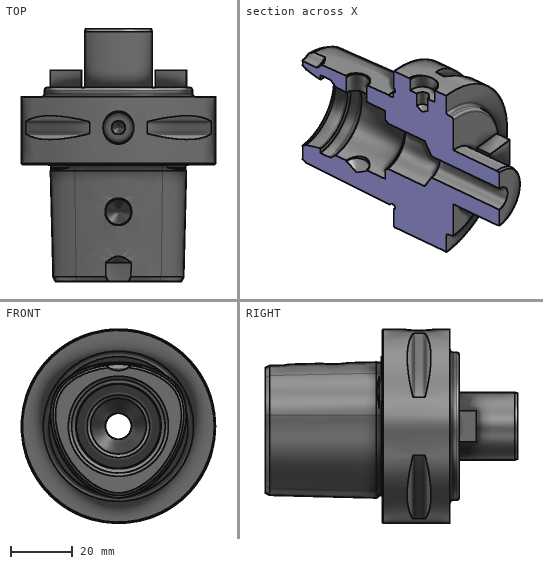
import cadquery as cq
import math


total_length = 82.0
shank_length = 38.0
flange_length = 22.0
collar_length = 3.0
arbor_end = total_length - shank_length
collar_end = flange_length + collar_length

flange_radius = 31.5
flange_chamfer = 0.4
collar_radius = 24.0
collar_fillet = 1.0
arbor_radius = 11.0
arbor_chamfer_length = 1.0
arbor_chamfer_width = 0.3

key_inner = 11.9
key_outer = 22.1
key_width = 10.0
key_height = 5.6

face_groove_radius = 24.35
face_groove_depth = 0.6
neck_radius = 22.55
land_height = 0.25

shank_mean_radius = 22.05
neck_mean_radius = 21.9
lobe_height = 1.2
outline_arcs = 6
arc_steps = 8
taper = 1 / 40
neck_length = 2.0
neck_cylinder_length = 1.0
end_chamfer_length = 1.55
end_chamfer_width = 0.8

mouth_radius = 16.2
mouth_chamfer_radius = 15.2
mouth_chamfer_length = 1.55
bore_entry_radius = 13.85
bore_entry_end = 6.8
groove_radius = 15.6
groove_start = 7.6
groove_arc_start = 11.15
groove_cone_radius = 15.1
groove_cone_start = 12.3
bore_radius = 13.6
groove_cone_end = 13.8
bore_depth = 34.4

screw_mouth_radius = 10.2
screw_radius = 9.0
screw_depth = 50.8
through_radius = 4.2
drill_half_angle = 59.0

cross_hole_radius = 4.2
cross_hole_mouth_radius = 4.4
cross_hole_mouth_depth = 0.65
cross_hole_depth = 15.3
cross_hole_bottom = -13.9

mouth_clearance = 1.6

notch_radius = 5.7
notch_floor = 18.0
notch_length = 6.15

rim_centre = 12.0
grip_floor = 27.9
grip_floor_width = 3.85
grip_mouth_width = 7.7
grip_fillet = 0.6
grip_count = 4
pocket_radius = 5.0
pocket_mouth_radius = 5.3
pocket_mouth_depth = 0.3
pocket_depth = 4.75
pilot_radius = 2.2
pilot_depth = 4.9


def drill_tip(radius):
    """Length of the cone a drill leaves between the given radius and the axis."""
    return radius / math.tan(math.radians(drill_half_angle))


def revolve_outline(outline):
    """Revolve a closed XY outline about the Y axis."""
    return outline.close().revolve(360, (0, 0, 0), (0, 1, 0))


def lobed_wire(mean_radius, depth):
    """Three-lobed outline of constant width, one lobe pointing to -Z."""
    def point(angle):
        support = mean_radius + lobe_height * math.sin(3 * angle)
        slope = 3 * lobe_height * math.cos(3 * angle)
        return cq.Vector(
            support * math.cos(angle) - slope * math.sin(angle),
            -depth,
            support * math.sin(angle) + slope * math.cos(angle),
        )

    def tangent(angle):
        return cq.Vector(-math.sin(angle), 0, math.cos(angle))

    arc_angle = 2 * math.pi / outline_arcs
    edges = []
    for arc in range(outline_arcs):
        start = arc * arc_angle
        end = start + arc_angle
        points = [point(start + step * arc_angle / arc_steps) for step in range(arc_steps + 1)]
        edges.append(cq.Edge.makeSpline(points, tangents=[tangent(start), tangent(end)]))
    return cq.Wire.assembleEdges(edges)


def lobed_segment(start, end):
    """Solid between two (mean radius, depth) sections."""
    return cq.Workplane(cq.Solid.makeLoft([lobed_wire(*start), lobed_wire(*end)], True))


def make_body():
    groove_middle = (neck_radius + face_groove_radius) / 2
    fillet_middle = collar_fillet * (1 - math.sqrt(0.5))
    outline = (
        cq.Workplane("XY")
        .moveTo(0, -land_height)
        .lineTo(neck_radius, -land_height)
        .threePointArc((groove_middle, face_groove_depth), (face_groove_radius, 0))
        .lineTo(flange_radius - flange_chamfer, 0)
        .lineTo(flange_radius, flange_chamfer)
        .lineTo(flange_radius, flange_length)
        .lineTo(collar_radius + collar_fillet, flange_length)
        .threePointArc(
            (collar_radius + fillet_middle, flange_length + fillet_middle),
            (collar_radius, flange_length + collar_fillet),
        )
        .lineTo(collar_radius, collar_end - collar_fillet)
        .threePointArc(
            (collar_radius - fillet_middle, collar_end - fillet_middle),
            (collar_radius - collar_fillet, collar_end),
        )
        .lineTo(arbor_radius, collar_end)
        .lineTo(arbor_radius, arbor_end - arbor_chamfer_length)
        .lineTo(arbor_radius - arbor_chamfer_width, arbor_end)
        .lineTo(0, arbor_end)
    )
    return revolve_outline(outline)


def make_shank():
    chamfer_start = shank_length - end_chamfer_length
    small_radius = shank_mean_radius - taper * (chamfer_start - neck_length)
    neck = lobed_segment((neck_mean_radius, 0), (neck_mean_radius, neck_length))
    taper_part = lobed_segment((shank_mean_radius, neck_length), (small_radius, chamfer_start))
    end_chamfer = lobed_segment(
        (small_radius, chamfer_start), (small_radius - end_chamfer_width, shank_length)
    )
    shank = neck.union(taper_part).union(end_chamfer)
    return shank.intersect(make_neck_limit())


def make_neck_limit():
    """Turned envelope that trims the lobes next to the flange with a 45 degree cone."""
    clear_radius = flange_radius
    cone_end = neck_cylinder_length + clear_radius - neck_radius
    outline = (
        cq.Workplane("XY")
        .moveTo(0, 0)
        .lineTo(neck_radius, 0)
        .lineTo(neck_radius, -neck_cylinder_length)
        .lineTo(clear_radius, -cone_end)
        .lineTo(clear_radius, -shank_length)
        .lineTo(0, -shank_length)
    )
    return revolve_outline(outline)


def make_keys():
    key_length = key_outer - key_inner
    return (
        cq.Workplane("XZ", origin=(0, collar_end, 0))
        .pushPoints([(side * (key_inner + key_outer) / 2, 0) for side in (-1, 1)])
        .rect(key_length, key_width)
        .extrude(-key_height)
    )


def make_bore():
    screw_chamfer = screw_mouth_radius - screw_radius
    tip_end = screw_depth + drill_tip(screw_radius) - drill_tip(through_radius)
    outline = (
        cq.Workplane("XY")
        .lineTo(mouth_radius, 0)
        .lineTo(mouth_chamfer_radius, mouth_chamfer_length)
        .lineTo(bore_entry_radius, bore_entry_end)
        .lineTo(bore_entry_radius, groove_start)
        .lineTo(groove_radius, groove_start)
        .lineTo(groove_radius, groove_arc_start)
        .tangentArcPoint((groove_cone_radius, groove_cone_start), relative=False)
        .lineTo(bore_radius, groove_cone_end)
        .lineTo(bore_radius, bore_depth)
        .lineTo(screw_mouth_radius, bore_depth)
        .lineTo(screw_radius, bore_depth + screw_chamfer)
        .lineTo(screw_radius, screw_depth)
        .lineTo(through_radius, tip_end)
        .lineTo(through_radius, total_length)
        .lineTo(0, total_length)
    )
    return revolve_outline(outline).translate((0, -shank_length, 0))


def drilled_hole(radius, top, bottom):
    """Round hole along -Z with a drill tip below its cylindrical part, centred on Z."""
    outline = (
        cq.Workplane("XZ")
        .moveTo(0, top)
        .lineTo(radius, top)
        .lineTo(radius, bottom)
        .lineTo(0, bottom - drill_tip(radius))
        .close()
    )
    return outline.revolve(360, (0, 0, 0), (0, 1, 0))


def tapered_mouth(hole_radius, mouth_radius, bottom, top):
    """Cone that widens a hole along Z up to its surface, with clearance above it."""
    cone = cq.Solid.makeCone(hole_radius, mouth_radius, top - bottom, cq.Vector(0, 0, bottom))
    clearance = cq.Workplane("XY", origin=(0, 0, top)).circle(mouth_radius).extrude(mouth_clearance)
    return clearance.union(cq.Workplane(cone))


def make_cross_hole():
    surface = shank_mean_radius - lobe_height - taper * (cross_hole_depth - neck_length)
    hole = drilled_hole(cross_hole_radius, shank_mean_radius, cross_hole_bottom)
    mouth = tapered_mouth(
        cross_hole_radius, cross_hole_mouth_radius, surface - cross_hole_mouth_depth, surface
    )
    return hole.union(mouth).translate((0, -cross_hole_depth, 0))


def make_notch():
    """Round trough with a 45 degree conical end."""
    outline = (
        cq.Workplane("XY")
        .moveTo(0, -shank_length)
        .lineTo(notch_radius, -shank_length)
        .lineTo(notch_radius, notch_length - shank_length)
        .lineTo(0, notch_length + notch_radius - shank_length)
    )
    return revolve_outline(outline).translate((0, 0, notch_floor + notch_radius))


def make_rim_pocket():
    floor = flange_radius - pocket_depth
    pocket = cq.Workplane("XY", origin=(0, 0, floor)).circle(pocket_radius).extrude(2 * pocket_depth)
    pilot = drilled_hole(pilot_radius, floor + pocket_depth, floor - pilot_depth)
    mouth = tapered_mouth(
        pocket_radius, pocket_mouth_radius, flange_radius - pocket_mouth_depth, flange_radius
    )
    return pocket.union(pilot).union(mouth).translate((0, rim_centre, 0))


def make_grip_slot():
    """Trapezoidal slot across the +Z side of the flange rim."""
    return (
        cq.Workplane("YZ")
        .moveTo(rim_centre - grip_floor_width / 2, grip_floor)
        .lineTo(rim_centre + grip_floor_width / 2, grip_floor)
        .lineTo(rim_centre + grip_mouth_width / 2, flange_radius)
        .lineTo(rim_centre - grip_mouth_width / 2, flange_radius)
        .close()
        .extrude(flange_radius, both=True)
        .faces("<Z")
        .edges("|X")
        .fillet(grip_fillet)
    )


result = make_body().union(make_shank()).union(make_keys())
result = result.cut(make_bore())
result = result.cut(make_cross_hole())
result = result.cut(make_notch())
result = result.cut(make_rim_pocket())
for index in range(grip_count):
    angle = (index + 0.5) * 360 / grip_count
    result = result.cut(make_grip_slot().rotate((0, 0, 0), (0, 1, 0), angle))